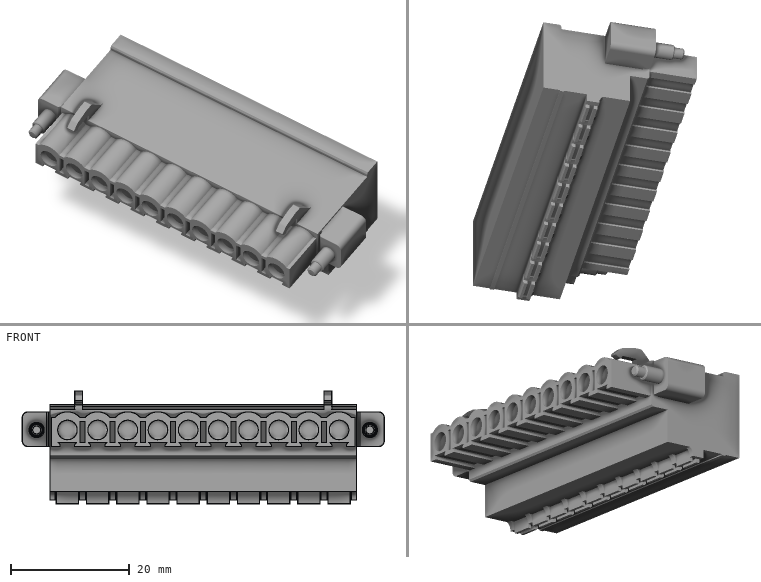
import cadquery as cq


HOUSING_WIDTH = 51.65
HOUSING_DEPTH = 18.35
HOUSING_HEIGHT = 13.8
REAR_LIP_DEPTH = 3.1
REAR_LIP_TOP = 14.7
LIP_CHAMFER_DOWN = 0.35
LIP_CHAMFER_BACK = 0.2
STEP_DEPTH = 3.35
STEP_HEIGHT = 5.65
STEP_CHAMFER = 0.3
RIB_FROM_REAR = 3.25
RIB_WIDTH = 0.75
RIB_HEIGHT = 0.2

POLE_COUNT = 10
POLE_SPAN = 45.7
POLE_PITCH = POLE_SPAN / (POLE_COUNT - 1)
pole_places = [(i - (POLE_COUNT - 1) / 2) * POLE_PITCH for i in range(POLE_COUNT)]
gap_places = [x + POLE_PITCH / 2 for x in pole_places[:-1]]

ROW_WIDTH = 51.1
ROW_LENGTH = 8.2
ROW_BOTTOM = 7.55
ROW_SHOULDER = 12.5
ROW_TOP = 13.4
CROWN_WIDTH = 4.15
AXIS_HEIGHT = 10.35
HOLE_DIAMETER = 3.3
HOLE_DEPTH = 1.2
SLOT_WIDTH = 0.85
SLOT_BOTTOM = 8.2
SLOT_TOP = 11.8
NOTCH_MOUTH_WIDTH = 2.45
NOTCH_TOP_WIDTH = 3.1
NOTCH_MOUTH_HEIGHT = 0.3
NOTCH_HEIGHT = 0.75

OVERALL_WIDTH = 60.95
FLANGE_DEPTH = 7.75
FLANGE_RADIUS = 1.0
RELIEF_WIDTH = 0.25
RELIEF_DEPTH = 1.15
RELIEF_CHAMFER = 0.35
SCREW_SPACING = 56.1
SCREW_DIAMETER = 2.55
SCREW_LENGTH = 3.6
SCREW_CHAMFER = 0.2
TIP_DIAMETER = 1.8
TIP_REACH = 5.35
TIP_CHAMFER = 0.25

HOOK_SPACING = 41.95
HOOK_WIDTH = 1.35
HOOK_TOP = 16.95
HOOK_UNDERSIDE = 15.05
BARB_CORNERS = [(-3.0, HOOK_UNDERSIDE), (-3.35, 14.55), (-3.8, 14.7), (-4.4, 15.05), (-4.45, 15.35)]
NOSE_BEND_START = (-3.4, 16.2)
NOSE_BEND_END = (-3.05, 16.4)
BROW_BEND_START = (-0.85, 16.9)
BROW_BEND_END = (-0.3, HOOK_TOP)
BACK_TOP = [(0.9, HOOK_TOP), (1.2, 16.7)]
BACK_BLEND_START = (3.6, 14.3)
BACK_BLEND_END = (5.0, HOUSING_HEIGHT)

FOOT_WIDTH = 3.8
FOOT_DROP = 2.1
FOOT_REAR = 10.85
FOOT_FRONT = 8.8
FOOT_CHAMFER = 0.25
FOOT_NOTCH_REAR = 10.1
FOOT_NOTCH_FRONT = 9.4
FOOT_NOTCH_HEIGHT = 0.75
WEB_WIDTH = 1.05
WEB_DROP = 1.45
WEB_FRONT = 8.65
WEB_ROOT_FRONT = 8.0
WEB_CURVE_MIDDLE = (8.5, -0.55)


def side_plane(x):
    """Sketch plane at x whose local axes are Y and Z."""
    return cq.Workplane("YZ", origin=(x, 0, 0))


def front_plane(y):
    """Sketch plane at y whose local axes are X and Z, extruding towards -Y."""
    return cq.Workplane("XZ", origin=(0, y, 0))


def box_between(x_range, y_range, z_range):
    (x0, x1), (y0, y1), (z0, z1) = x_range, y_range, z_range
    return cq.Workplane("XY").box(x1 - x0, y1 - y0, z1 - z0, centered=False).translate((x0, y0, z0))


def make_housing():
    lip_front = HOUSING_DEPTH - REAR_LIP_DEPTH
    body = (
        side_plane(-HOUSING_WIDTH / 2)
        .moveTo(STEP_DEPTH, 0)
        .lineTo(HOUSING_DEPTH, 0)
        .lineTo(HOUSING_DEPTH, REAR_LIP_TOP)
        .lineTo(lip_front + LIP_CHAMFER_BACK, REAR_LIP_TOP)
        .lineTo(lip_front, REAR_LIP_TOP - LIP_CHAMFER_DOWN)
        .lineTo(lip_front, HOUSING_HEIGHT)
        .lineTo(0, HOUSING_HEIGHT)
        .lineTo(0, STEP_HEIGHT + STEP_CHAMFER)
        .lineTo(STEP_CHAMFER, STEP_HEIGHT)
        .lineTo(STEP_DEPTH, STEP_HEIGHT)
        .close()
        .extrude(HOUSING_WIDTH)
    )
    rib_middle = HOUSING_DEPTH - RIB_FROM_REAR
    rib = box_between(
        (-HOUSING_WIDTH / 2, HOUSING_WIDTH / 2),
        (rib_middle - RIB_WIDTH / 2, rib_middle + RIB_WIDTH / 2),
        (-RIB_HEIGHT, 0),
    )
    return body.union(rib)


def make_socket_row():
    """Row with a rounded crown over every pole, holes, slots and undercut notches."""
    outline = front_plane(0).moveTo(-ROW_WIDTH / 2, ROW_BOTTOM).lineTo(-ROW_WIDTH / 2, ROW_SHOULDER)
    for x in pole_places:
        outline = outline.lineTo(x - CROWN_WIDTH / 2, ROW_SHOULDER)
        outline = outline.threePointArc((x, ROW_TOP), (x + CROWN_WIDTH / 2, ROW_SHOULDER))
    outline = outline.lineTo(ROW_WIDTH / 2, ROW_SHOULDER).lineTo(ROW_WIDTH / 2, ROW_BOTTOM)
    row = outline.close().extrude(ROW_LENGTH)

    hole_centers = [(x, AXIS_HEIGHT) for x in pole_places]
    holes = front_plane(HOLE_DEPTH - ROW_LENGTH).pushPoints(hole_centers).circle(HOLE_DIAMETER / 2)
    row = row.cut(holes.extrude(HOLE_DEPTH))

    slot_centers = [(x, (SLOT_BOTTOM + SLOT_TOP) / 2) for x in gap_places]
    slots = front_plane(0).pushPoints(slot_centers).rect(SLOT_WIDTH, SLOT_TOP - SLOT_BOTTOM)
    row = row.cut(slots.extrude(ROW_LENGTH))

    half_mouth = NOTCH_MOUTH_WIDTH / 2
    half_top = NOTCH_TOP_WIDTH / 2
    notch = (
        front_plane(0)
        .moveTo(-half_mouth, ROW_BOTTOM)
        .lineTo(-half_mouth, ROW_BOTTOM + NOTCH_MOUTH_HEIGHT)
        .lineTo(-half_top, ROW_BOTTOM + NOTCH_HEIGHT)
        .lineTo(half_top, ROW_BOTTOM + NOTCH_HEIGHT)
        .lineTo(half_mouth, ROW_BOTTOM + NOTCH_MOUTH_HEIGHT)
        .lineTo(half_mouth, ROW_BOTTOM)
        .close()
        .extrude(ROW_LENGTH)
    )
    for x in pole_places:
        row = row.cut(notch.translate((x, 0, 0)))
    return row


def make_right_flange():
    """Flange with a narrow relief beside the housing and a stepped screw end."""
    wall = HOUSING_WIDTH / 2
    outer = OVERALL_WIDTH / 2
    flange = box_between((wall, outer), (0, FLANGE_DEPTH), (ROW_BOTTOM, ROW_TOP))
    flange = flange.edges("|Y and >X").fillet(FLANGE_RADIUS)
    relief = (
        cq.Workplane("XY", origin=(0, 0, ROW_BOTTOM))
        .moveTo(wall, 0)
        .lineTo(wall + RELIEF_WIDTH + RELIEF_CHAMFER, 0)
        .lineTo(wall + RELIEF_WIDTH, RELIEF_CHAMFER)
        .lineTo(wall + RELIEF_WIDTH, RELIEF_DEPTH)
        .lineTo(wall, RELIEF_DEPTH)
        .close()
        .extrude(ROW_TOP - ROW_BOTTOM)
    )
    screw_plane = cq.Workplane("XZ", origin=(SCREW_SPACING / 2, 0, AXIS_HEIGHT))
    shank = screw_plane.circle(SCREW_DIAMETER / 2).extrude(SCREW_LENGTH).faces("<Y").chamfer(SCREW_CHAMFER)
    tip = screw_plane.circle(TIP_DIAMETER / 2).extrude(TIP_REACH).faces("<Y").chamfer(TIP_CHAMFER)
    return flange.cut(relief).union(shank).union(tip)


def make_hook():
    """Latch hook rising from the housing and reaching forward over the sockets."""
    profile = side_plane(-HOOK_WIDTH / 2).moveTo(0, HOUSING_HEIGHT).lineTo(0, HOOK_UNDERSIDE)
    for corner in BARB_CORNERS:
        profile = profile.lineTo(*corner)
    profile = profile.lineTo(*NOSE_BEND_START).tangentArcPoint(NOSE_BEND_END, relative=False)
    profile = profile.lineTo(*BROW_BEND_START).tangentArcPoint(BROW_BEND_END, relative=False)
    for corner in BACK_TOP:
        profile = profile.lineTo(*corner)
    profile = profile.lineTo(*BACK_BLEND_START).tangentArcPoint(BACK_BLEND_END, relative=False)
    return profile.close().extrude(HOOK_WIDTH)


def make_foot():
    """Two-pronged foot under one pole."""
    return (
        side_plane(-FOOT_WIDTH / 2)
        .moveTo(FOOT_FRONT, 0)
        .lineTo(FOOT_FRONT, -FOOT_DROP)
        .lineTo(FOOT_NOTCH_FRONT, -FOOT_DROP)
        .lineTo(FOOT_NOTCH_FRONT, FOOT_NOTCH_HEIGHT - FOOT_DROP)
        .lineTo(FOOT_NOTCH_REAR, FOOT_NOTCH_HEIGHT - FOOT_DROP)
        .lineTo(FOOT_NOTCH_REAR, -FOOT_DROP)
        .lineTo(FOOT_REAR - FOOT_CHAMFER, -FOOT_DROP)
        .lineTo(FOOT_REAR, FOOT_CHAMFER - FOOT_DROP)
        .lineTo(FOOT_REAR, 0)
        .close()
        .extrude(FOOT_WIDTH)
    )


def make_web(x_start, x_end):
    """Web beside the feet, with a hollow curve blending its front into the housing."""
    return (
        side_plane(x_start)
        .moveTo(WEB_ROOT_FRONT, 0)
        .threePointArc(WEB_CURVE_MIDDLE, (WEB_FRONT, -WEB_DROP))
        .lineTo(FOOT_REAR, -WEB_DROP)
        .lineTo(FOOT_REAR, 0)
        .close()
        .extrude(x_end - x_start)
    )


result = make_housing().union(make_socket_row())

right_flange = make_right_flange()
result = result.union(right_flange).union(right_flange.mirror("YZ"))

hook = make_hook()
for side in (-1, 1):
    result = result.union(hook.translate((side * HOOK_SPACING / 2, 0, 0)))

foot = make_foot()
for x in pole_places:
    result = result.union(foot.translate((x, 0, 0)))

for x in gap_places:
    result = result.union(make_web(x - WEB_WIDTH / 2, x + WEB_WIDTH / 2))
end_web_inner = POLE_COUNT * POLE_PITCH / 2 - WEB_WIDTH / 2
result = result.union(make_web(end_web_inner, HOUSING_WIDTH / 2))
result = result.union(make_web(-HOUSING_WIDTH / 2, -end_web_inner))